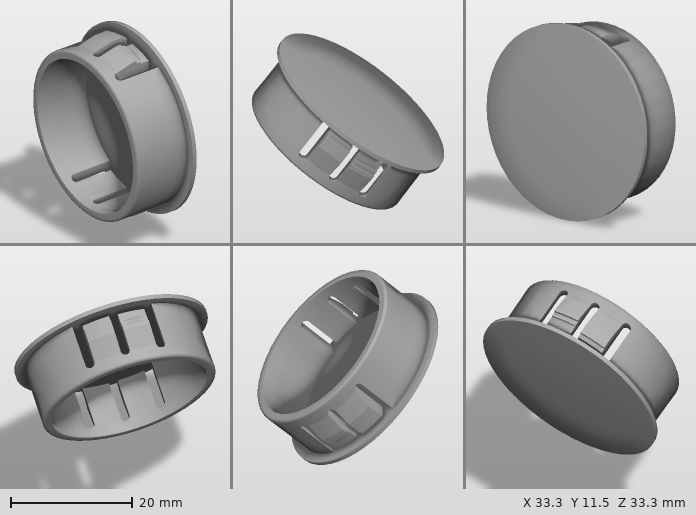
import cadquery as cq

total_depth = 11.5
flange_radius = 16.65
flange_front = 9.92
flange_back = 10.65

rim_radius = 15.0
skirt_root_radius = 14.92
bore_radius = 13.5
rim_fillet = 0.5

tab_width = 4.6
slot_width = 1.5
slot_pitch = tab_width + slot_width
window_width = 2 * slot_pitch + slot_width
tab_end = 9.05
ramp_start = 2.53
ramp_end = 5.83

catch_radius = 15.82
middle_step_radius = 15.4
low_step_radius = 15.05
short_catch_end = 6.6
middle_step_end = 7.4
long_catch_end = 8.25


def revolve_profile(profile):
    """Close a radius/depth profile and turn it about the cap axis."""
    return profile.close().revolve(360, (0, 0, 0), (0, 1, 0))


def box_between(x_min, x_max, y_min, y_max):
    """Block above the axis, tall enough to pass through one side of the skirt."""
    return (
        cq.Workplane("XY")
        .box(x_max - x_min, y_max - y_min, flange_radius, centered=False)
        .translate((x_min, y_min, 0))
    )


def make_head():
    mid_radius = flange_radius / 2
    dome_height = total_depth - flange_back
    sphere_radius = (flange_radius**2 + dome_height**2) / (2 * dome_height)
    sphere_center = total_depth - sphere_radius
    dome_mid = sphere_center + (sphere_radius**2 - mid_radius**2) ** 0.5
    return revolve_profile(
        cq.Workplane("XY")
        .moveTo(0, flange_front)
        .lineTo(flange_radius, flange_front)
        .lineTo(flange_radius, flange_back)
        .threePointArc((mid_radius, dome_mid), (0, total_depth))
    )


def make_skirt():
    skirt = revolve_profile(
        cq.Workplane("XY")
        .moveTo(bore_radius, 0)
        .lineTo(rim_radius, 0)
        .lineTo(skirt_root_radius, flange_front)
        .lineTo(bore_radius, flange_front)
    )
    outer_rim = cq.selectors.RadiusNthSelector(-1)
    return skirt.faces("<Y").edges(outer_rim).fillet(rim_fillet)


def make_window():
    """Cutter that clears both tabs and their three slots on the +Z side."""
    half_window = window_width / 2
    window = box_between(-half_window, half_window, ramp_start, flange_front)
    for x in (-slot_pitch, 0, slot_pitch):
        slot_end = (
            cq.Workplane("XY")
            .center(x, ramp_start)
            .circle(slot_width / 2)
            .extrude(flange_radius)
        )
        window = window.union(slot_end)
    return window


def make_tab(side, catch_end, lower_steps):
    """Tab on the given X side (-1 or 1); lower_steps holds (radius, end depth) pairs."""
    taper = (rim_radius - skirt_root_radius) / flange_front
    ramp_foot_radius = rim_radius - taper * ramp_start
    profile = (
        cq.Workplane("XY")
        .moveTo(bore_radius, ramp_start)
        .lineTo(ramp_foot_radius, ramp_start)
        .lineTo(catch_radius, ramp_end)
        .lineTo(catch_radius, catch_end)
    )
    depth = catch_end
    for radius, end_depth in lower_steps:
        profile = profile.lineTo(radius, depth).lineTo(radius, end_depth)
        depth = end_depth
    ring = revolve_profile(profile.lineTo(bore_radius, depth))
    x_center = side * slot_pitch / 2
    strip = box_between(x_center - tab_width / 2, x_center + tab_width / 2, ramp_start, tab_end)
    return ring.intersect(strip)


def make_tab_pair():
    long_tab = make_tab(-1, long_catch_end, [(middle_step_radius, tab_end)])
    short_tab = make_tab(
        1,
        short_catch_end,
        [(middle_step_radius, middle_step_end), (low_step_radius, tab_end)],
    )
    return long_tab.union(short_tab)


body = make_skirt()
window = make_window()
tabs = make_tab_pair()

for angle in (0, 180):
    body = body.cut(window.rotate((0, 0, 0), (0, 1, 0), angle))
    body = body.union(tabs.rotate((0, 0, 0), (0, 1, 0), angle))

result = body.union(make_head()).clean()